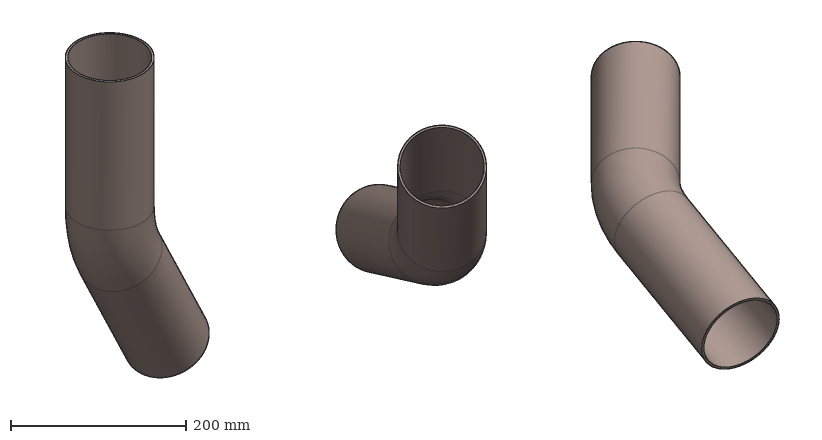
import cadquery as cq
import math

overall_height = 481.0
outer_diameter = 101.5
inner_diameter = 95.5
bend_radius = 152.0
bend_angle = 30.0

bend_sine = math.sin(math.radians(bend_angle))
bend_cosine = math.cos(math.radians(bend_angle))
bend_drop = bend_radius * bend_sine
bend_offset = bend_radius * (1 - bend_cosine)
end_rim_drop = outer_diameter / 2 * bend_sine
leg_length = (overall_height - bend_drop - end_rim_drop) / (1 + bend_cosine)


def ring(plane):
    """Pipe cross-section centred on the plane's origin."""
    return cq.Workplane(plane).circle(outer_diameter / 2).circle(inner_diameter / 2)


joint_plane = cq.Plane.XY()
upper_leg = ring(joint_plane).extrude(leg_length)

bend = ring(joint_plane).revolve(bend_angle, (0, bend_radius), (1, bend_radius))

lower_plane = cq.Plane(
    origin=(0, bend_offset, -bend_drop),
    xDir=(1, 0, 0),
    normal=(0, bend_sine, -bend_cosine),
)
lower_leg = ring(lower_plane).extrude(leg_length)

result = upper_leg.union(bend).union(lower_leg)